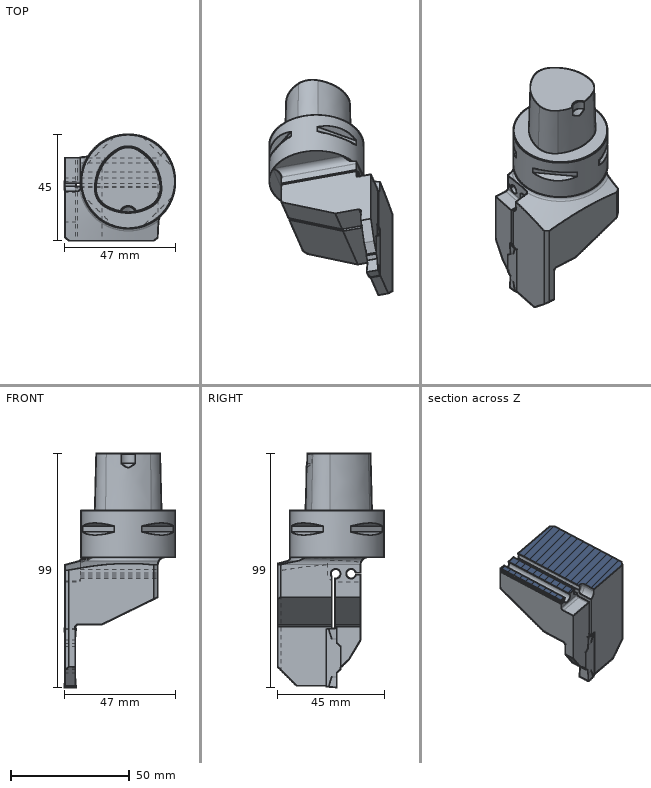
import cadquery as cq
import math


shank_height = 24.0
lobe_radius = 9.0
lobe_offset = 5.9
shank_taper = math.degrees(math.atan(1 / 40))
key_radius = 3.3
key_offset = 13.9
key_wall_depth = 4.3
key_tip_angle = 105.0
key_rim_chamfer = 0.3

flange_radius = 20.0
flange_height = 20.0
flange_chamfer = 0.3
grip_floor = 17.6
grip_floor_height = 2.4
grip_side_slope = 30.0
grip_z = -8.0
grip_angles = [45, 135, 225, 315]

head_left = -26.7
head_right = 12.6
head_front = -25.0
head_back = 10.1
head_top = -flange_height
head_bottom = -74.25
edge_chamfer_x = 1.7
edge_chamfer_y = 1.4
flare_radius = 3.0
thick_bottom = -48.4
slope_start_x = -11.1
slope_end_z = -36.8
blade_right = -22.4
blade_relief = 0.9
toe_chamfer = 8.0
jaw_chamfer_start = -54.8
jaw_knee = (5.2, -63.1)
jaw_tip_z = -66.6

neck_radius = 19.8
neck_fillet = 1.4
shoulder_angle = 15.0
shoulder_z = -21.2
shoulder_outer = 44.55

pocket_floor_x = -20.3
pocket_front = -4.1
pocket_bottom = -30.4
pocket_corner = 4.0
pocket_floor_fillet = 1.0
hole_radius = 2.0
hole_z = -26.9
back_hole_y = 6.0
slot_hole_y = -0.5
back_slit_width = 0.8
slot_front = -2.1
slot_back = -0.8

insert_top = -49.9
insert_bottom = -75.0
insert_middle = (insert_top + insert_bottom) / 2
insert_half = (insert_top - insert_bottom) / 2
insert_seat_y = -4.5
insert_face_y = 0.0
insert_end_relief = 0.4
ridge_y = 1.6
ridge_half_base = 6.2
ridge_half_top = 4.9
insert_centre_x = -24.5
insert_half_width = 2.2
edge_half_width = 2.52
edge_length = 4.6
edge_base_y = -3.5
edge_root_y = -2.2

through = 99.0


def make_shank():
    """Tapered shank with a section of three lobe arcs joined by three flatter arcs."""
    lobe_spacing = lobe_offset * math.sqrt(3)
    flank_radius = lobe_radius + lobe_spacing

    def polar(centre_angle, radius, angle):
        """Point at a radius and angle from the lobe centre that lies at centre_angle."""
        return (lobe_offset * math.cos(centre_angle) + radius * math.cos(angle),
                lobe_offset * math.sin(centre_angle) + radius * math.sin(angle))

    half_lobe = math.radians(30)
    lobe_step = math.radians(120)
    lobe = math.radians(90)
    section = cq.Workplane("XY").moveTo(*polar(lobe, lobe_radius, lobe - half_lobe))
    for _ in range(3):
        next_lobe = lobe + lobe_step
        far_lobe = next_lobe + lobe_step
        flank_middle = lobe + lobe_step / 2
        section = section.threePointArc(
            polar(lobe, lobe_radius, lobe), polar(lobe, lobe_radius, lobe + half_lobe))
        section = section.threePointArc(
            polar(far_lobe, flank_radius, flank_middle),
            polar(next_lobe, lobe_radius, next_lobe - half_lobe))
        lobe = next_lobe
    shank = section.close().extrude(shank_height, taper=shank_taper)

    wall_end = shank_height - key_wall_depth
    tip_height = key_radius / math.tan(math.radians(key_tip_angle / 2))
    key = (
        cq.Workplane("XZ")
        .polyline([(0, shank_height), (key_radius + key_rim_chamfer, shank_height),
                   (key_radius, shank_height - key_rim_chamfer),
                   (key_radius, wall_end), (0, wall_end - tip_height)])
        .close()
        .revolve(360, (0, 0, 0), (0, 1, 0))
        .translate((0, -key_offset, 0))
    )
    return shank.cut(key)


def make_flange():
    """Round flange with four straight gripper grooves."""
    flange = cq.Workplane("XY").circle(flange_radius).extrude(-flange_height)
    flange = flange.faces(">Z").edges().chamfer(flange_chamfer)

    groove_reach = flange_radius + 1
    half_floor = grip_floor_height / 2
    half_mouth = half_floor + (groove_reach - grip_floor) * math.tan(math.radians(grip_side_slope))
    groove = (
        cq.Workplane("XZ")
        .polyline([(grip_floor, grip_z - half_floor), (groove_reach, grip_z - half_mouth),
                   (groove_reach, grip_z + half_mouth), (grip_floor, grip_z + half_floor)])
        .close()
        .extrude(flange_radius, both=True)
    )
    for angle in grip_angles:
        flange = flange.cut(groove.rotate((0, 0, 0), (0, 0, 1), angle))
    return flange


def make_shoulder():
    """Solid of revolution that gives the head its neck, neck fillet and conical top."""
    slope = math.radians(shoulder_angle)
    tangent = neck_fillet * math.tan((math.pi / 2 - slope) / 2)
    fillet_centre = (neck_radius + neck_fillet, shoulder_z + tangent)
    fillet_angle = math.pi + (math.pi / 2 - slope) / 2
    fillet_middle = (fillet_centre[0] + neck_fillet * math.cos(fillet_angle),
                     fillet_centre[1] + neck_fillet * math.sin(fillet_angle))
    fillet_end = (neck_radius + tangent * math.cos(slope), shoulder_z - tangent * math.sin(slope))
    outer_z = shoulder_z - (shoulder_outer - neck_radius) * math.tan(slope)
    return (
        cq.Workplane("XZ")
        .moveTo(0, head_top)
        .lineTo(neck_radius, head_top)
        .lineTo(neck_radius, shoulder_z + tangent)
        .threePointArc(fillet_middle, fillet_end)
        .lineTo(shoulder_outer, outer_z)
        .lineTo(shoulder_outer, head_bottom)
        .lineTo(0, head_bottom)
        .close()
        .revolve(360, (0, 0, 0), (0, 1, 0))
    )


def make_head():
    """Head: front outline and side outline intersected, below the conical shoulder."""
    flare_z = head_top - flare_radius
    flare_middle = flare_radius * (1 - math.sqrt(0.5))
    front_outline = (
        cq.Workplane("XZ")
        .moveTo(head_left, head_top)
        .lineTo(head_right + flare_radius, head_top)
        .threePointArc((head_right + flare_middle, head_top - flare_middle), (head_right, flare_z))
        .lineTo(head_right, slope_end_z)
        .lineTo(slope_start_x, thick_bottom)
        .lineTo(blade_right + blade_relief, thick_bottom)
        .lineTo(blade_right, thick_bottom - blade_relief)
        .lineTo(blade_right, head_bottom)
        .lineTo(head_left, head_bottom)
        .close()
        .extrude(through, both=True)
    )
    side_outline = (
        cq.Workplane("YZ")
        .moveTo(head_front, head_top)
        .lineTo(head_back + flare_radius, head_top)
        .threePointArc((head_back + flare_middle, head_top - flare_middle), (head_back, flare_z))
        .lineTo(head_back, jaw_chamfer_start)
        .lineTo(*jaw_knee)
        .lineTo(ridge_y, jaw_tip_z)
        .lineTo(insert_seat_y, jaw_tip_z)
        .lineTo(insert_seat_y, head_bottom)
        .lineTo(head_front + toe_chamfer, head_bottom)
        .lineTo(head_front, head_bottom + toe_chamfer)
        .close()
        .extrude(through, both=True)
    )
    head = front_outline.intersect(side_outline)
    for x, inward in ((head_left, 1), (head_right, -1)):
        corner = (
            cq.Workplane("XY")
            .polyline([(x, head_front), (x + inward * edge_chamfer_x, head_front),
                       (x, head_front + edge_chamfer_y)])
            .close()
            .extrude(-through)
        )
        head = head.cut(corner)
    return head.intersect(make_shoulder())


def make_relief_pocket():
    """Pocket in the -X side above the clamping jaw."""
    pocket_left = head_left - 1
    pocket = (
        cq.Workplane("XY")
        .box(pocket_floor_x - pocket_left, through, -pocket_bottom, centered=False)
        .translate((pocket_left, pocket_front, pocket_bottom))
    )
    pocket = pocket.edges("|X and <Y and <Z").fillet(pocket_corner)
    return pocket.faces(">X").edges("not(>Y or >Z)").fillet(pocket_floor_fillet)


def make_x_bar(y_start, y_end, z_start, z_end):
    """Rectangular cutter that passes through the head along X."""
    return (
        cq.Workplane("XY")
        .box(through, y_end - y_start, z_end - z_start, centered=(True, False, False))
        .translate((0, y_start, z_start))
    )


def make_clamp_cuts():
    """Two cross holes, the slit to the back and the slot down to the insert."""
    cuts = (
        cq.Workplane("YZ")
        .pushPoints([(back_hole_y, hole_z), (slot_hole_y, hole_z)])
        .circle(hole_radius)
        .extrude(through, both=True)
    )
    half_slit = back_slit_width / 2
    back_slit = make_x_bar(back_hole_y, through, hole_z - half_slit, hole_z + half_slit)
    slot = make_x_bar(slot_front, slot_back, insert_top - insert_end_relief, hole_z)
    return cuts.union(back_slit).union(slot)


def make_insert_prism(half_width):
    """Side outline of the insert, extruded to both sides of its middle plane."""
    end_z = insert_half - insert_end_relief
    upper = [(insert_seat_y, end_z), (insert_face_y, insert_half),
             (insert_face_y, ridge_half_base), (ridge_y, ridge_half_top)]
    lower = [(y, -z) for y, z in reversed(upper)]
    return (
        cq.Workplane("YZ")
        .polyline(upper + lower)
        .close()
        .extrude(half_width, both=True)
        .translate((insert_centre_x, 0, insert_middle))
    )


def make_insert():
    """Cutting insert with a wider, back-tapered cutting edge at each end."""
    insert = make_insert_prism(insert_half_width)
    root_z = insert_half - edge_length
    relief_per_y = insert_end_relief / (insert_face_y - insert_seat_y)
    edge_base_z = insert_half - relief_per_y * (insert_face_y - edge_base_y)
    edge_side = (
        cq.Workplane("YZ")
        .polyline([(insert_face_y, insert_half), (edge_base_y, edge_base_z),
                   (edge_root_y, root_z), (insert_face_y, root_z)])
        .close()
        .extrude(edge_half_width, both=True)
    )
    edge_front = (
        cq.Workplane("XZ")
        .polyline([(-edge_half_width, insert_half), (edge_half_width, insert_half),
                   (insert_half_width, root_z), (-insert_half_width, root_z)])
        .close()
        .extrude(through, both=True)
    )
    upper_edge = edge_side.intersect(edge_front)
    lower_edge = upper_edge.mirror("XY")
    for edge in (upper_edge, lower_edge):
        insert = insert.union(edge.translate((insert_centre_x, 0, insert_middle)))
    return insert.solids()


def make_holder():
    """Shank, flange and slotted head in one piece, with a seat for the insert."""
    head = make_head().cut(make_relief_pocket()).cut(make_clamp_cuts())
    head = head.cut(make_insert_prism(through))
    return make_shank().union(make_flange()).union(head).solids()


holder = make_holder()
insert = make_insert()
result = cq.Compound.makeCompound([holder.val(), insert.val()])